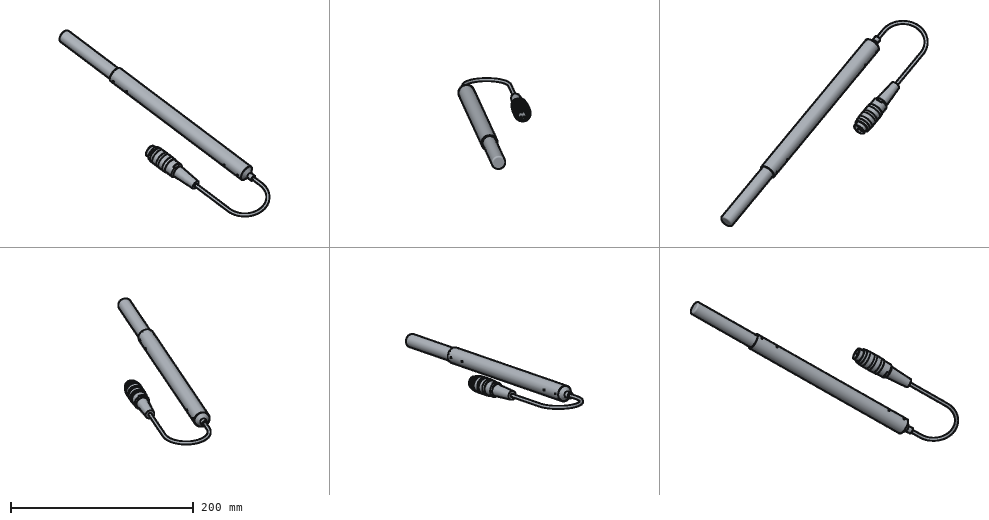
import cadquery as cq
import math

overall_length = 316.5
tilt = 13.0
axis_spacing = 50.5
bend_radius = axis_spacing / 2
plug_axis_y = -axis_spacing

tube_dia = 15.2
tube_length = 79.0
tube_fillet = 2.0

housing_dia = 18.0
housing_length = 200.0
outlet_cone_dia = 16.8
outlet_cone_length = 4.5
outlet_dia = 7.0
outlet_length = 6.0
screw_hole_end_gap = 5.5
screw_hole_pitch = 20.3
outer_hole_dia = 1.5
inner_hole_dia = 1.7
screw_hole_depth = 1.5

cable_dia = 3.8

plug_start = 181.5
nose_dia = 13.5
nose_length = 5.0
shoulder_dia = 16.8
shell_dia = 18.0
ridge_dia = 18.5
shoulder_end = 8.2
ridge_starts = [12.0, 21.2]
ridge_length = 6.0
grip_start = 31.0
grip_dia = 16.8
shell_length = 42.5
rear_bevel_length = 2.0
rear_bevel_dia = 14.2
socket_dia = 12.0
socket_depth = 6.3
flat_length = 3.8
flat_height = 7.5

pin_dia = 1.5
pin_length = 4.7
pin_circle_dia = 7.5
pin_count = 5
pin_pitch = 60.0

boot_front_dia = 13.5
boot_rear_dia = 10.0
boot_length = 27.2

housing_end = tube_length + housing_length
outlet_end = housing_end + outlet_cone_length + outlet_length
boot_start = plug_start + shell_length
boot_end = boot_start + boot_length
tilt_sin = math.sin(math.radians(tilt))
tilt_cos = math.cos(math.radians(tilt))
bend_start = (
    overall_length
    - (tube_dia / 2 - tube_fillet) * tilt_sin
    - tube_fillet * (1 - tilt_cos)
    - bend_radius * (1 - tilt_sin)
    - cable_dia / 2
) / tilt_cos


def turned(profile):
    """Solid of revolution about X from (x, diameter) points, closed along the axis."""
    points = [(x, diameter / 2) for x, diameter in profile]
    outline = [(profile[0][0], 0)] + points + [(profile[-1][0], 0)]
    return cq.Workplane("XY").polyline(outline).close().revolve(360, (0, 0, 0), (1, 0, 0))


def rod(diameter, length, x, y=0.0, z=0.0):
    """Cylinder along X whose front end is centred at (x, y, z)."""
    return cq.Workplane("YZ", origin=(x, y, z)).circle(diameter / 2).extrude(length)


def make_tube():
    return rod(tube_dia, tube_length, 0).faces("<X").edges().fillet(tube_fillet)


def make_housing():
    housing = turned([
        (tube_length, housing_dia),
        (housing_end, housing_dia),
        (housing_end, outlet_cone_dia),
        (housing_end + outlet_cone_length, outlet_dia),
        (outlet_end, outlet_dia),
    ])
    for end, inward in [(tube_length, 1), (housing_end, -1)]:
        outer_x = end + inward * screw_hole_end_gap
        inner_x = outer_x + inward * screw_hole_pitch
        for x, diameter in [(outer_x, outer_hole_dia), (inner_x, inner_hole_dia)]:
            hole = (
                cq.Workplane("XZ", origin=(x, -housing_dia / 2 + screw_hole_depth, 0))
                .circle(diameter / 2)
                .extrude(housing_dia)
            )
            housing = housing.cut(hole)
    return housing


def make_cable():
    path = (
        cq.Workplane("XY")
        .moveTo(outlet_end, 0)
        .lineTo(bend_start, 0)
        .threePointArc((bend_start + bend_radius, -bend_radius), (bend_start, plug_axis_y))
        .lineTo(boot_end, plug_axis_y)
    )
    return cq.Workplane("YZ", origin=(outlet_end, 0, 0)).circle(cable_dia / 2).sweep(path)


def make_plug():
    """Plug shell built with its nose at the origin, then moved onto the plug axis."""
    profile = [
        (0, nose_dia),
        (nose_length, nose_dia),
        (nose_length, shoulder_dia),
        (shoulder_end, shoulder_dia),
        (shoulder_end, shell_dia),
    ]
    for start in ridge_starts:
        end = start + ridge_length
        profile += [(start, shell_dia), (start, ridge_dia), (end, ridge_dia), (end, shell_dia)]
    profile += [
        (grip_start, shell_dia),
        (grip_start, grip_dia),
        (shell_length - rear_bevel_length, grip_dia),
        (shell_length, rear_bevel_dia),
    ]
    plug = turned(profile).cut(rod(socket_dia, socket_depth, 0))

    for side in [1, -1]:
        flat_cut = (
            cq.Workplane("XY")
            .box(flat_length, ridge_dia, ridge_dia)
            .translate((shell_length - flat_length / 2, 0, side * (flat_height + ridge_dia / 2)))
        )
        plug = plug.cut(flat_cut)

    for index in range(pin_count):
        angle = math.radians(pin_pitch * (index - (pin_count - 1) / 2))
        y = -pin_circle_dia / 2 * math.cos(angle)
        z = pin_circle_dia / 2 * math.sin(angle)
        plug = plug.union(rod(pin_dia, pin_length, socket_depth - pin_length, y, z))
    return plug.translate((plug_start, plug_axis_y, 0))


def make_boot():
    boot = turned([(boot_start, boot_front_dia), (boot_end, boot_rear_dia)])
    return boot.translate((0, plug_axis_y, 0))


def tilted(body):
    """Turn a body from the X axis onto the sloping probe axis."""
    return body.rotate((0, 0, 0), (0, 0, 1), -tilt)


tube = tilted(make_tube())
housing = tilted(make_housing())
cable = tilted(make_cable())
plug = tilted(make_plug())
boot = tilted(make_boot())

result = cq.Compound.makeCompound([tube.val(), housing.val(), cable.val(), plug.val(), boot.val()])